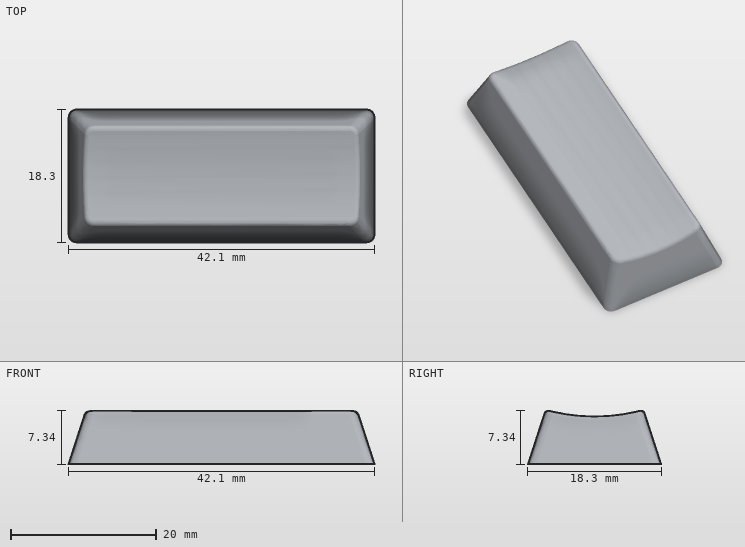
import cadquery as cq
import math

length = 42.1
width = 18.3

wall_angle = 18.0
corner_radius = 1.25

dish_radius = 25.0
dish_floor = 6.55
rim_radius = 0.65

block_height = 8.42


def tapered_block():
    """Block with four equally sloping walls and rounded corners."""
    inset = block_height * math.tan(math.radians(wall_angle))
    block = (
        cq.Workplane("XY")
        .rect(length, width)
        .workplane(offset=block_height)
        .rect(length - 2 * inset, width - 2 * inset)
        .loft(ruled=True)
    )
    return block.edges("not (|X or |Y)").fillet(corner_radius)


def dish_cutter():
    """Cylinder along X that hollows the top across its full length."""
    return (
        cq.Workplane("YZ", origin=(-length / 2, 0, dish_floor + dish_radius))
        .circle(dish_radius)
        .extrude(length)
    )


def round_rim(body):
    """Round every edge where the dish meets the walls and corners."""
    dish_face = body.faces(cq.selectors.NearestToPointSelector((0, 0, dish_floor)))
    return dish_face.edges().fillet(rim_radius)


dished_block = tapered_block().cut(dish_cutter())
result = round_rim(dished_block)